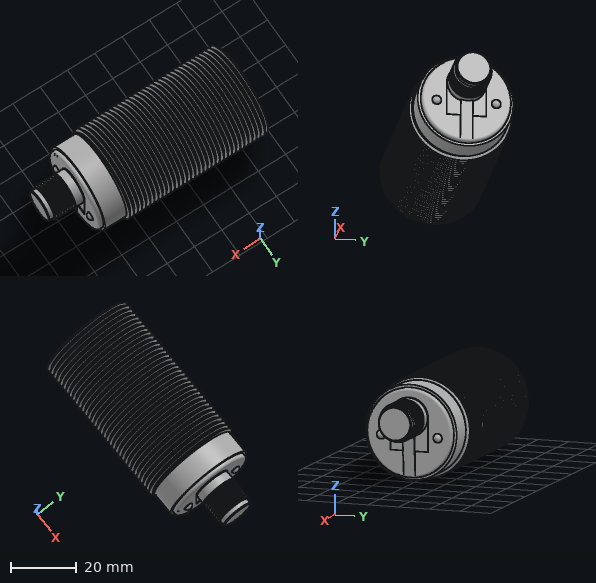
import cadquery as cq
import math


barrel_diameter = 29.7
barrel_thread_diameter = 31.8
barrel_thread_length = 51.7
barrel_turns = 34.5
barrel_pitch = barrel_thread_length / barrel_turns
barrel_length = 59.5
barrel_lead_in = 0.5
barrel_first_crest = 1.3

disc_diameter = 26.65
disc_groove_width = 0.2
disc_groove_depth = 0.2

cover_diameter = 27.9
cover_length = 1.6
cover_fillet = 0.9
cover_end = barrel_length + cover_length

connector_height = 5.0
connector_diameter = 12.0
connector_root_diameter = 10.7
connector_end = 73.85
connector_thread_begin = 64.4
connector_thread_end = 71.9
connector_turns = 7.5
connector_pitch = (connector_thread_end - connector_thread_begin) / connector_turns
connector_first_crest = 65.6
connector_chamfer = 0.3

pad_thickness = 0.2
pad_margin = 0.15
pad_bottom = -5.5
rib_width = 3.8
rib_rise = 1.0
rib_bottom = -12.9

light_radius = 1.5
light_protrusion = 1.1
light_spacing = 18.45
light_height = -0.95

crest_share = 0.12
base_share = 0.8
root_clearance = 0.1


def rod(start, end, diameter):
    """Cylinder on the X axis between two stations."""
    return cq.Workplane("YZ", origin=(start, 0, 0)).circle(diameter / 2).extrude(end - start)


def tapered_envelope(start, end, root_diameter, crest_diameter, lead_in):
    """Body of revolution with conical ends that trims the ends of a thread."""
    slope = (crest_diameter - root_diameter) / 2 / lead_in
    end_radius = root_diameter / 2 + root_clearance
    belly = 2 * lead_in
    belly_radius = end_radius + slope * belly
    outline = [
        (start, 0),
        (start, end_radius),
        (start + belly, belly_radius),
        (end - belly, belly_radius),
        (end, end_radius),
        (end, 0),
    ]
    return cq.Workplane("XZ").polyline(outline).close().revolve(360, (0, 0, 0), (1, 0, 0))


def helix(radius, start, pitch):
    """One right-handed turn of a helix about Z, starting on the +X side."""
    return cq.Wire.makeHelix(pitch, pitch, radius, center=cq.Vector(0, 0, start)).Edges()[0]


def threaded_rod(start, end, first_crest, pitch, root_diameter, crest_diameter, lead_in=0):
    """Solid rod along X with a right-handed thread.

    first_crest is a crest station on the -Z side; lead_in is the length over which the
    crests taper to the root diameter at both ends.
    """
    root_radius = root_diameter / 2
    crest_radius = crest_diameter / 2
    half_crest = crest_share * pitch / 2
    half_base = base_share * pitch / 2
    tooth = [
        (root_radius, -half_base),
        (crest_radius, -half_crest),
        (crest_radius, half_crest),
        (root_radius, half_base),
        (root_radius, pitch - half_base),
    ]

    helix_start = first_crest - 2 * pitch
    turns = math.ceil((end - helix_start) / pitch) + 1
    faces = []
    for turn in range(turns):
        shift = turn * pitch
        for (radius_a, station_a), (radius_b, station_b) in zip(tooth, tooth[1:]):
            edge_a = helix(radius_a, station_a + shift, pitch)
            edge_b = helix(radius_b, station_b + shift, pitch)
            faces.append(cq.Face.makeRuledSurface(edge_a, edge_b))

    half_section = [(0, -half_base)] + tooth + [(0, pitch - half_base)]
    for shift in (0, turns * pitch):
        low = shift - half_base
        axis = cq.Edge.makeLine(cq.Vector(0, 0, low), cq.Vector(0, 0, low + pitch))
        faces.append(cq.Face.makeRuledSurface(axis, helix(root_radius, low, pitch)))
        corners = [cq.Vector(radius, 0, station + shift) for radius, station in half_section]
        faces.append(cq.Face.makeFromWires(cq.Wire.makePolygon(corners, close=True)))

    thread = cq.Workplane(cq.Solid.makeSolid(cq.Shell.makeShell(faces)))
    thread = thread.rotate((0, 0, 0), (0, 1, 0), 90).translate((helix_start, 0, 0))
    thread = thread.intersect(rod(start, end, 2 * crest_diameter))
    if lead_in:
        thread = thread.intersect(tapered_envelope(start, end, root_diameter, crest_diameter, lead_in))
    return thread


def make_barrel():
    """Threaded barrel with a plain rear length and the groove around its sensing disc."""
    threaded = threaded_rod(
        0,
        barrel_thread_length,
        barrel_first_crest,
        barrel_pitch,
        barrel_diameter,
        barrel_thread_diameter,
        barrel_lead_in,
    )
    plain = rod(barrel_thread_length, barrel_length, barrel_diameter)
    groove = rod(0, disc_groove_depth, disc_diameter + disc_groove_width).cut(
        rod(0, disc_groove_depth, disc_diameter - disc_groove_width)
    )
    return threaded.union(plain).cut(groove)


def make_cover():
    """Rear cover disc with a rounded rim."""
    return rod(barrel_length, cover_end, cover_diameter).faces(">X").edges().fillet(cover_fillet)


def make_connector():
    """Plain collar, threaded length and a chamfered tip of the root diameter."""
    collar = rod(cover_end, connector_thread_begin, connector_diameter)
    threaded = threaded_rod(
        connector_thread_begin,
        connector_thread_end,
        connector_first_crest,
        connector_pitch,
        connector_root_diameter,
        connector_diameter,
    )
    tip = rod(connector_thread_end, connector_end, connector_root_diameter)
    tip = tip.faces(">X").chamfer(connector_chamfer)
    return collar.union(threaded).union(tip).translate((0, 0, connector_height))


def make_pad():
    """Thin pad slightly wider than the connector, round at the top and square at the bottom."""
    half_width = connector_diameter / 2 + pad_margin
    return (
        cq.Workplane("YZ", origin=(cover_end, 0, 0))
        .moveTo(-half_width, pad_bottom)
        .lineTo(half_width, pad_bottom)
        .lineTo(half_width, connector_height)
        .threePointArc((0, connector_height + half_width), (-half_width, connector_height))
        .close()
        .extrude(pad_thickness)
    )


def make_rib():
    """Rib that slopes from the connector down to the rear face of the cover."""
    rib_top = connector_height - connector_diameter / 2
    return (
        cq.Workplane("XZ")
        .moveTo(cover_end, rib_bottom)
        .lineTo(cover_end + rib_rise, rib_top)
        .lineTo(cover_end + rib_rise, connector_height)
        .lineTo(cover_end, connector_height)
        .close()
        .extrude(rib_width / 2, both=True)
    )


def make_light(side):
    """Dome of one indicator light; side is +1 or -1 along Y."""
    base_radius = math.sqrt(light_radius**2 - (light_radius - light_protrusion) ** 2)
    half_angle = math.asin(base_radius / light_radius) / 2
    center = cover_end + light_protrusion - light_radius
    dome = (
        cq.Workplane("XZ")
        .moveTo(cover_end, 0)
        .lineTo(cover_end, base_radius)
        .threePointArc(
            (center + light_radius * math.cos(half_angle), light_radius * math.sin(half_angle)),
            (cover_end + light_protrusion, 0),
        )
        .close()
        .revolve(360, (0, 0, 0), (1, 0, 0))
    )
    return dome.translate((0, side * light_spacing / 2, light_height))


rear = make_cover().union(make_pad()).union(make_rib())
for side in (1, -1):
    rear = rear.union(make_light(side))
rear = rear.union(make_connector())
result = make_barrel().union(rear)